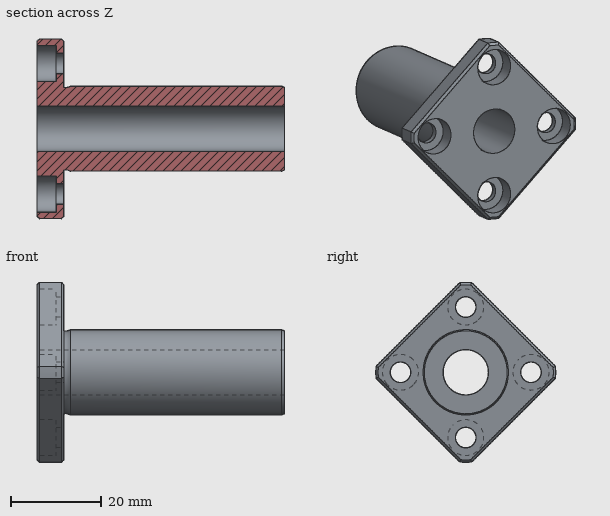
import cadquery as cq
length = 55.0
bore_diameter = 10.0

flange_thickness = 6.0
flange_across_flats = 30.1
flange_corner_diameter = 40.0
flange_edge_chamfer = 0.55

sleeve_diameter = 19.0
relief_width = 1.45
relief_depth = 0.3
sleeve_end_chamfer_length = 0.7
sleeve_end_chamfer_depth = 0.3

bolt_circle_diameter = 29.0
mounting_hole_diameter = 4.5
counterbore_diameter = 8.0
counterbore_depth = 4.3
mounting_hole_count = 4

flange_face_x = -length / 2
flange_back_x = flange_face_x + flange_thickness
sleeve_end_x = length / 2


def make_flange():
    """Square plate turned 45 degrees, its corners trimmed by a cylinder, both rims chamfered."""
    face = cq.Workplane("YZ", origin=(flange_face_x, 0, 0))
    square = face.rect(flange_across_flats, flange_across_flats).extrude(flange_thickness)
    diamond = square.rotate((0, 0, 0), (1, 0, 0), 45)
    turned = face.circle(flange_corner_diameter / 2).extrude(flange_thickness)
    return diamond.intersect(turned).faces("<X or >X").chamfer(flange_edge_chamfer)


def make_sleeve():
    """Turned sleeve: concave relief, full diameter, then the chamfered free end."""
    sleeve_radius = sleeve_diameter / 2
    relief_radius = sleeve_radius - relief_depth
    root_x = flange_face_x + flange_thickness / 2
    relief_middle = (flange_back_x + relief_width / 2, relief_radius)
    relief_end = (flange_back_x + relief_width, sleeve_radius)
    profile = (
        cq.Workplane("XY")
        .moveTo(root_x, 0)
        .lineTo(root_x, relief_radius)
        .lineTo(flange_back_x, relief_radius)
        .threePointArc(relief_middle, relief_end)
        .lineTo(sleeve_end_x - sleeve_end_chamfer_length, sleeve_radius)
        .lineTo(sleeve_end_x, sleeve_radius - sleeve_end_chamfer_depth)
        .lineTo(sleeve_end_x, 0)
        .close()
    )
    return profile.revolve(360, (0, 0, 0), (1, 0, 0))


def make_bore():
    """Through bore along the whole length."""
    return cq.Workplane("YZ", origin=(flange_face_x, 0, 0)).circle(bore_diameter / 2).extrude(length)


def make_mounting_holes():
    """Through holes at the flange corners, counterbored from the outer face."""
    pattern = cq.Workplane("YZ", origin=(flange_face_x, 0, 0)).polarArray(
        bolt_circle_diameter / 2, 0, 360, mounting_hole_count
    )
    holes = pattern.circle(mounting_hole_diameter / 2).extrude(flange_thickness)
    counterbores = pattern.circle(counterbore_diameter / 2).extrude(counterbore_depth)
    return holes.union(counterbores)


result = make_flange().union(make_sleeve()).cut(make_bore()).cut(make_mounting_holes())